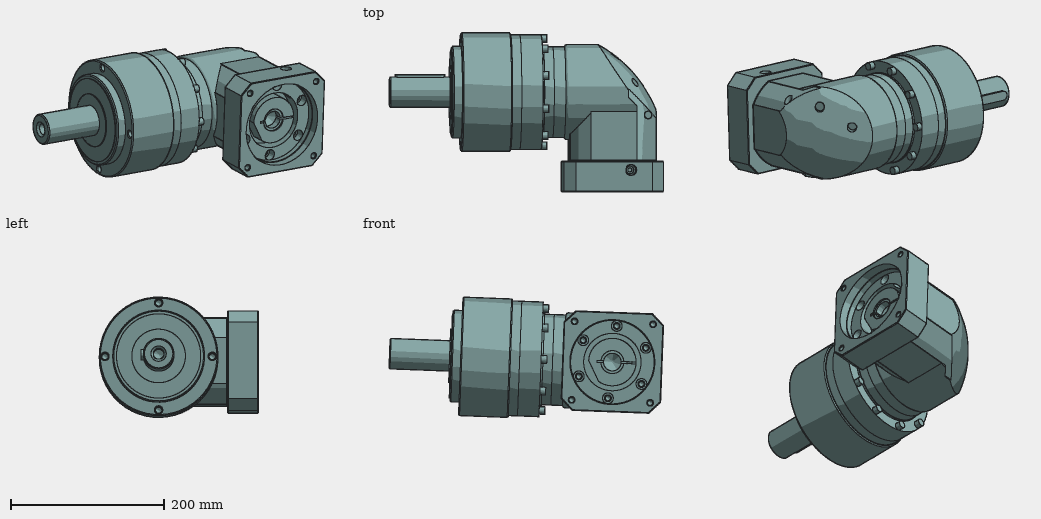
import cadquery as cq
import math

ROLL_ANGLE = 2.17

SHAFT_TIP = -291.0
SEAL_FACE = -212.5
NOSE_LIP_FACE = -211.0
NOSE_FACE = -210.0
SEAL_BACK = -206.0
FLANGE_FACE = -198.0
SHAFT_BACK = -190.0
FLANGE_BACK = -133.0
HOUSING_BACK = -121.0
REAR_FLANGE_BACK = -93.0
COLLAR_BACK = -90.5
SPACER_FACE = -78.0
ELBOW_FACE = -63.0

SHAFT_RADIUS = 20.0
SEAL_RADIUS = 35.0
NOSE_LIP_RADIUS = 55.0
NOSE_RADIUS = 60.0
FLANGE_RADIUS = 77.5
BODY_RADIUS = 75.0
COLLAR_RADIUS = 60.0
NECK_RADIUS = 59.3
EDGE_CHAMFER = 1.5

CENTRE_DRILL_RADIUS = 7.0
CENTRE_MOUTH_RADIUS = 10.0
CENTRE_DEPTH = 36.0
KEY_WIDTH = 12.0
KEY_LENGTH = 65.0
KEY_START = -283.5
KEY_BOTTOM = 15.0
KEY_TOP = 23.0

BOLT_CIRCLE_RADIUS = 70.0
FACE_HOLE_COUNT = 4
FACE_HOLE_RADIUS = 4.25
FACE_HOLE_MOUTH_RADIUS = 5.5
FACE_HOLE_DEPTH = 20.0
SCREW_COUNT = 10
SCREW_HEAD_RADIUS = 5.0
SCREW_HEAD_HEIGHT = 7.5

ELBOW_BARREL_RADIUS = 62.2
ELBOW_BARREL_END = 19.0
ELBOW_EDGE_FILLET = 4.0
LEG_RADIUS = 63.5
LEG_FLAT = 56.8
LEG_FLAT_WIDTH = 60.0
LEG_FLAT_TOP = -18.0
LEG_BOTTOM = -88.5
NECK_INSET = 1.0
DOME_ARC_RADIUS = 168.0
DOME_CROWN_RADIUS = 103.0
DOME_PEAK = 37.6
DOME_SHIFT = -9.4
DOME_HALF_LENGTH = 130.0
SIDE_HOLE_X = 45.3
SIDE_HOLE_Y = -29.8
SIDE_HOLE_RADIUS = 5.0
SIDE_HOLE_FLOOR = 30.0
DOME_HOLE_RADIUS = 6.0
DOME_HOLE_FLOOR = 24.0
DOME_HOLES = [(11.0, 38.0), (-31.0, 12.0)]

PLATE_SIZE = 130.0
PLATE_BACK = -90.0
PLATE_FACE = -130.0
PLATE_CORNER = 15.0
PLATE_EDGE = 1.0
PILOT_RADIUS = 55.5
PILOT_DEPTH = 12.0
INNER_PILOT_RADIUS = 54.5
PLATE_FLOOR = -110.0
HUB_RECESS_RADIUS = 37.5
MOTOR_HOLE_PITCH = 102.5
MOTOR_HOLE_RADIUS = 3.4
MOTOR_HOLE_MOUTH_RADIUS = 4.4
MOTOR_HOLE_DEPTH = 20.0
PLATE_BOLT_COUNT = 6
PLATE_BOLT_CIRCLE = 47.5
PLATE_BOLT_START = 25.2
COUNTERBORE_RADIUS = 7.0
COUNTERBORE_DEPTH = 12.0
CLEARANCE_RADIUS = 4.5
TAPPED_RADIUS = 3.4
TAPPED_DEPTH = 15.0

HUB_RADIUS = 31.0
HUB_FLAT = 27.0
HUB_FLAT_ANGLE = 207.5
HUB_FACE = -110.0
HUB_BORE_RADIUS = 11.5
HUB_MOUTH_RADIUS = 15.0
HUB_MOUTH_DEPTH = 2.0
HUB_BORE_DEPTH = 12.0
SLIT_WIDTH = 2.5
SLIT_INNER_END = -20.0
SLIT_DEPTH = HUB_BORE_DEPTH
CLAMP_X = 22.4
CLAMP_Y = -101.5
CLAMP_ACCESS_RADIUS = 7.0
CLAMP_HEAD_RADIUS = 5.0
CLAMP_HEAD_TOP = 14.0
CLAMP_HEAD_BOTTOM = 8.0
CLAMP_SHANK_RADIUS = 3.0
CLAMP_SHANK_END = -14.0
SOCKET_FLATS = 5.0
SOCKET_DEPTH = 3.0

DRILL_POINT_ANGLE = 118.0
DIAGONAL = math.sqrt(0.5)


def turned(points):
    """Revolve (axial station, radius) points about the X axis."""
    return cq.Workplane("XY").polyline(points).close().revolve(360, (0, 0, 0), (1, 0, 0))


def x_disc(start, end, radius, y=0.0, z=0.0):
    """Cylinder along X between two stations."""
    return cq.Workplane("YZ", origin=(start, 0, 0)).center(y, z).circle(radius).extrude(end - start)


def y_disc(start, end, radius, x=0.0, z=0.0):
    """Cylinder along Y between two stations."""
    axis = cq.Vector(0, math.copysign(1, end - start), 0)
    return cq.Workplane(cq.Solid.makeCylinder(radius, abs(end - start), cq.Vector(x, start, z), axis))


def z_disc(start, end, radius, x, y):
    """Cylinder along Z between two heights."""
    return cq.Workplane("XY", origin=(x, y, start)).circle(radius).extrude(end - start)


def drilled(mouth, direction, radius, depth):
    """Blind drilling with a conical drill point."""
    start = cq.Vector(*mouth)
    axis = cq.Vector(*direction)
    point = radius / math.tan(math.radians(DRILL_POINT_ANGLE / 2))
    bore = cq.Solid.makeCylinder(radius, depth, start, axis)
    tip = cq.Solid.makeCone(radius, 0, point, start + axis * depth, axis)
    return cq.Workplane(bore).union(cq.Workplane(tip))


def countersunk(mouth, direction, radius, mouth_radius, depth):
    """Blind drilling with a 45 degree countersink at its mouth."""
    sink_depth = mouth_radius - radius
    sink = cq.Solid.makeCone(mouth_radius, radius, sink_depth, cq.Vector(*mouth), cq.Vector(*direction))
    return drilled(mouth, direction, radius, depth).union(cq.Workplane(sink))


def circle_points(count, radius, start_angle=0.0):
    """Points spaced evenly on a circle."""
    angles = [math.radians(start_angle + 360.0 * i / count) for i in range(count)]
    return [(radius * math.cos(a), radius * math.sin(a)) for a in angles]


def make_key():
    """Parallel key with round ends, standing on the +Y side of the shaft."""
    middle = KEY_START + KEY_LENGTH / 2
    blank = cq.Workplane("XZ", origin=(middle, KEY_BOTTOM, 0)).slot2D(KEY_LENGTH, KEY_WIDTH)
    return blank.extrude(KEY_BOTTOM - KEY_TOP)


def make_shaft(key):
    """Output shaft with a centre hole in its tip and a keyway."""
    shaft = x_disc(SHAFT_TIP, SHAFT_BACK, SHAFT_RADIUS).faces("<X").chamfer(EDGE_CHAMFER)
    tip = (SHAFT_TIP, 0, 0)
    centre_hole = countersunk(tip, (1, 0, 0), CENTRE_DRILL_RADIUS, CENTRE_MOUTH_RADIUS, CENTRE_DEPTH)
    return shaft.cut(centre_hole).cut(key)


def make_seal():
    """Shaft seal ring standing slightly out of the housing nose."""
    return x_disc(SEAL_FACE, SEAL_BACK, SEAL_RADIUS).cut(x_disc(SEAL_FACE, SEAL_BACK, SHAFT_RADIUS))


def make_output_housing():
    """Front housing: stepped nose, mounting flange and pockets for the seal and the shaft."""
    profile = [
        (NOSE_LIP_FACE, 0),
        (NOSE_LIP_FACE, NOSE_LIP_RADIUS),
        (NOSE_FACE, NOSE_LIP_RADIUS),
        (NOSE_FACE, NOSE_RADIUS - EDGE_CHAMFER),
        (NOSE_FACE + EDGE_CHAMFER, NOSE_RADIUS),
        (FLANGE_FACE, NOSE_RADIUS),
        (FLANGE_FACE, FLANGE_RADIUS - EDGE_CHAMFER),
        (FLANGE_FACE + EDGE_CHAMFER, FLANGE_RADIUS),
        (FLANGE_BACK - EDGE_CHAMFER, FLANGE_RADIUS),
        (FLANGE_BACK, FLANGE_RADIUS - EDGE_CHAMFER),
        (FLANGE_BACK, BODY_RADIUS),
        (HOUSING_BACK, BODY_RADIUS),
        (HOUSING_BACK, 0),
    ]
    housing = turned(profile)
    housing = housing.cut(x_disc(NOSE_LIP_FACE, SEAL_BACK, SEAL_RADIUS))
    housing = housing.cut(x_disc(SEAL_BACK, SHAFT_BACK, SHAFT_RADIUS))
    for y, z in circle_points(FACE_HOLE_COUNT, BOLT_CIRCLE_RADIUS):
        mouth = (FLANGE_FACE, y, z)
        hole = countersunk(mouth, (1, 0, 0), FACE_HOLE_RADIUS, FACE_HOLE_MOUTH_RADIUS, FACE_HOLE_DEPTH)
        housing = housing.cut(hole)
    return housing


def make_rear_flange():
    """Gear ring with a ring of screw heads on its back and the neck towards the elbow."""
    profile = [
        (HOUSING_BACK, 0),
        (HOUSING_BACK, BODY_RADIUS),
        (REAR_FLANGE_BACK, BODY_RADIUS),
        (REAR_FLANGE_BACK, COLLAR_RADIUS),
        (COLLAR_BACK, COLLAR_RADIUS),
        (COLLAR_BACK, NECK_RADIUS),
        (SPACER_FACE, NECK_RADIUS),
        (SPACER_FACE, 0),
    ]
    flange = turned(profile)
    for y, z in circle_points(SCREW_COUNT, BOLT_CIRCLE_RADIUS):
        flange = flange.union(
            x_disc(REAR_FLANGE_BACK, REAR_FLANGE_BACK + SCREW_HEAD_HEIGHT, SCREW_HEAD_RADIUS, y, z)
        )
    return flange


def make_spacer():
    """Plain spacer ring between the neck and the elbow."""
    return x_disc(SPACER_FACE, ELBOW_FACE, NECK_RADIUS)


def leg_section(start, end, inset):
    """Length of the motor leg: a trimmed cylinder along Y with four slightly proud flat pads."""
    side = 2 * (LEG_FLAT - inset)
    pad = LEG_FLAT_WIDTH - 2 * inset
    sketch_plane = cq.Workplane("XZ", origin=(0, start, 0))
    length = start - end
    trimmed = sketch_plane.rect(side, side).extrude(length).intersect(y_disc(start, end, LEG_RADIUS - inset))
    side_pads = sketch_plane.rect(side, pad).extrude(length)
    top_pads = sketch_plane.rect(pad, side).extrude(length)
    return trimmed.union(side_pads).union(top_pads)


def diagonal_point(out, along):
    """Point in the XY plane at a distance out along the elbow diagonal and a distance along its back."""
    return ((out + along) * DIAGONAL, (out - along) * DIAGONAL)


def make_dome_envelope():
    """Barrel whose crowned side forms the rounded back of the elbow."""
    axis_out = DOME_PEAK - DOME_CROWN_RADIUS
    sagitta = DOME_ARC_RADIUS - math.sqrt(DOME_ARC_RADIUS**2 - DOME_HALF_LENGTH**2)
    first = DOME_SHIFT - DOME_HALF_LENGTH
    last = DOME_SHIFT + DOME_HALF_LENGTH
    axis_start = diagonal_point(axis_out, first)
    axis_end = diagonal_point(axis_out, last)
    profile = (
        cq.Workplane("XY")
        .moveTo(*axis_start)
        .lineTo(*diagonal_point(DOME_PEAK - sagitta, first))
        .threePointArc(diagonal_point(DOME_PEAK, DOME_SHIFT), diagonal_point(DOME_PEAK - sagitta, last))
        .lineTo(*axis_end)
        .close()
    )
    return profile.revolve(360, axis_start, axis_end)


def make_leg_corner():
    """Prism below the elbow diagonal and beyond the barrel end, where the leg takes over from the barrel."""
    reach = 2 * LEG_RADIUS
    pad_edge = LEG_FLAT_WIDTH / 2
    outline = [
        (ELBOW_BARREL_END, ELBOW_BARREL_END),
        (reach, reach),
        (reach, -reach),
        (pad_edge, -reach),
        (pad_edge, LEG_FLAT_TOP),
        (ELBOW_BARREL_END, LEG_FLAT_TOP + pad_edge - ELBOW_BARREL_END),
    ]
    return cq.Workplane("XY").polyline(outline).close().extrude(reach, both=True)


def make_elbow():
    """Elbow housing: barrel on the output axis, flatted leg on the motor axis, rounded back."""
    corner = make_leg_corner()
    barrel = x_disc(ELBOW_FACE, LEG_RADIUS, ELBOW_BARREL_RADIUS)
    barrel = barrel.faces("<X").edges().fillet(ELBOW_EDGE_FILLET)
    barrel = barrel.cut(corner)
    leg_flats = leg_section(LEG_FLAT_TOP, LEG_BOTTOM, 0)
    leg_top = y_disc(LEG_FLAT_TOP, LEG_RADIUS, LEG_RADIUS).intersect(corner)
    neck = leg_section(LEG_BOTTOM, PLATE_BACK, NECK_INSET)
    elbow = barrel.union(leg_flats).union(leg_top).union(neck).intersect(make_dome_envelope())
    elbow = elbow.cut(z_disc(SIDE_HOLE_FLOOR, LEG_RADIUS, SIDE_HOLE_RADIUS, SIDE_HOLE_X, SIDE_HOLE_Y))
    for along, height in DOME_HOLES:
        x, y = diagonal_point(DOME_HOLE_FLOOR, along)
        hole = cq.Solid.makeCylinder(
            DOME_HOLE_RADIUS, DOME_PEAK, cq.Vector(x, y, height), cq.Vector(DIAGONAL, DIAGONAL, 0)
        )
        elbow = elbow.cut(cq.Workplane(hole))
    for x, z in circle_points(PLATE_BOLT_COUNT, PLATE_BOLT_CIRCLE, PLATE_BOLT_START):
        elbow = elbow.cut(drilled((x, PLATE_BACK, z), (0, 1, 0), TAPPED_RADIUS, TAPPED_DEPTH))
    return elbow


def make_motor_plate():
    """Square motor plate with a pilot bore, bolt holes and an access hole for the clamp screw."""
    blank = cq.Workplane("XZ", origin=(0, PLATE_BACK, 0)).rect(PLATE_SIZE, PLATE_SIZE)
    plate = blank.extrude(PLATE_BACK - PLATE_FACE).edges("|Y").chamfer(PLATE_CORNER)
    plate = plate.faces("<Y or >Y").edges().chamfer(PLATE_EDGE)
    plate = plate.cut(y_disc(PLATE_FACE, PLATE_FACE + PILOT_DEPTH, PILOT_RADIUS))
    plate = plate.cut(y_disc(PLATE_FACE, PLATE_FLOOR, INNER_PILOT_RADIUS))
    plate = plate.cut(y_disc(PLATE_FLOOR, PLATE_BACK, HUB_RECESS_RADIUS))
    half_pitch = MOTOR_HOLE_PITCH / 2
    for x in (-half_pitch, half_pitch):
        for z in (-half_pitch, half_pitch):
            mouth = (x, PLATE_FACE, z)
            hole = countersunk(mouth, (0, 1, 0), MOTOR_HOLE_RADIUS, MOTOR_HOLE_MOUTH_RADIUS, MOTOR_HOLE_DEPTH)
            plate = plate.cut(hole)
    for x, z in circle_points(PLATE_BOLT_COUNT, PLATE_BOLT_CIRCLE, PLATE_BOLT_START):
        plate = plate.cut(y_disc(PLATE_FLOOR, PLATE_FLOOR + COUNTERBORE_DEPTH, COUNTERBORE_RADIUS, x, z))
        plate = plate.cut(y_disc(PLATE_FLOOR, PLATE_BACK, CLEARANCE_RADIUS, x, z))
    return plate.cut(z_disc(0, PLATE_SIZE / 2, CLAMP_ACCESS_RADIUS, CLAMP_X, CLAMP_Y))


def clamp_screw_blank():
    """Outer shape of the clamp screw."""
    head = z_disc(CLAMP_HEAD_BOTTOM, CLAMP_HEAD_TOP, CLAMP_HEAD_RADIUS, CLAMP_X, CLAMP_Y)
    return head.union(z_disc(CLAMP_SHANK_END, CLAMP_HEAD_BOTTOM, CLAMP_SHANK_RADIUS, CLAMP_X, CLAMP_Y))


def make_clamp_screw():
    """Clamp screw with a hexagon socket."""
    socket = cq.Workplane("XY", origin=(CLAMP_X, CLAMP_Y, CLAMP_HEAD_TOP))
    socket = socket.polygon(6, SOCKET_FLATS, circumscribed=True).extrude(-SOCKET_DEPTH)
    return clamp_screw_blank().cut(socket)


def make_clamp_hub():
    """Slit clamping hub for the motor shaft, with one flat and a seat for the clamp screw."""
    hub = y_disc(HUB_FACE, PLATE_BACK, HUB_RADIUS)
    length = PLATE_BACK - HUB_FACE
    flat_cut = cq.Workplane("XY").box(HUB_RADIUS, length, 2 * HUB_RADIUS)
    flat_cut = flat_cut.translate((HUB_FLAT + HUB_RADIUS / 2, (HUB_FACE + PLATE_BACK) / 2, 0))
    hub = hub.cut(flat_cut.rotate((0, 0, 0), (0, 1, 0), -HUB_FLAT_ANGLE))
    hub = hub.cut(drilled((0, HUB_FACE, 0), (0, 1, 0), HUB_BORE_RADIUS, HUB_BORE_DEPTH))
    hub = hub.cut(y_disc(HUB_FACE, HUB_FACE + HUB_MOUTH_DEPTH, HUB_MOUTH_RADIUS))
    slit_length = HUB_RADIUS - SLIT_INNER_END
    slit = cq.Workplane("XY").box(slit_length, SLIT_DEPTH, SLIT_WIDTH, centered=(False, False, True))
    hub = hub.cut(slit.translate((SLIT_INNER_END, HUB_FACE, 0)))
    head_seat = z_disc(CLAMP_HEAD_BOTTOM, HUB_RADIUS, CLAMP_HEAD_RADIUS, CLAMP_X, CLAMP_Y)
    return hub.cut(head_seat).cut(clamp_screw_blank())


key = make_key()
bodies = [
    make_shaft(key),
    key,
    make_seal(),
    make_output_housing(),
    make_rear_flange(),
    make_spacer(),
    make_elbow(),
    make_motor_plate(),
    make_clamp_hub(),
    make_clamp_screw(),
]
rolled_bodies = [body.rotate((0, 0, 0), (0, 1, 0), ROLL_ANGLE) for body in bodies]
result = cq.Compound.makeCompound([body.solids().val() for body in rolled_bodies])